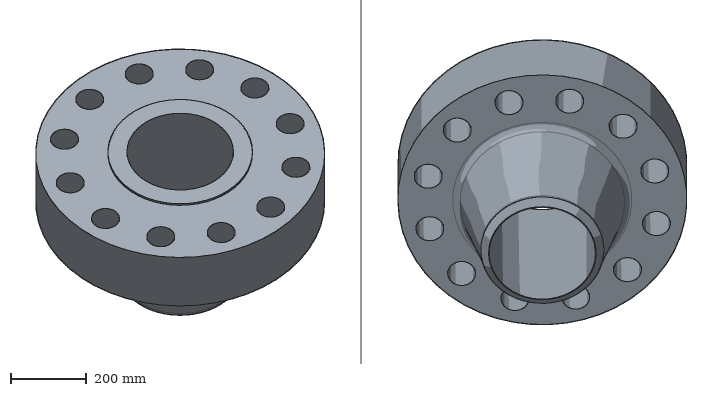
import cadquery as cq

flange_diameter = 762.0
total_height = 470.0

flange_thickness = 184.5
face_diameter = 381.0
face_height = 6.0

hub_top_diameter = 440.5
hub_end_diameter = 324.5
hub_fillet = 20.0

land_height = 7.0
bevel_height = 16.0
root_diameter = 283.5

bore_diameter = 280.5
bolt_count = 12
bolt_circle_diameter = 619.0
bolt_hole_diameter = 73.0

flange_top = total_height - face_height
flange_bottom = flange_top - flange_thickness
land_top = bevel_height + land_height


def make_body():
    """Revolve the outer half-profile about Z."""
    profile = (
        cq.Workplane("XZ")
        .moveTo(0, 0)
        .lineTo(root_diameter / 2, 0)
        .lineTo(hub_end_diameter / 2, bevel_height)
        .lineTo(hub_end_diameter / 2, land_top)
        .lineTo(hub_top_diameter / 2, flange_bottom)
        .lineTo(flange_diameter / 2, flange_bottom)
        .lineTo(flange_diameter / 2, flange_top)
        .lineTo(face_diameter / 2, flange_top)
        .lineTo(face_diameter / 2, total_height)
        .lineTo(0, total_height)
        .close()
    )
    body = profile.revolve(360, (0, 0, 0), (0, 1, 0))
    return body.edges("%CIRCLE").edges(cq.selectors.RadiusNthSelector(3)).fillet(hub_fillet)


def make_bore():
    """Cylinder that removes the central bore."""
    return cq.Workplane("XY").circle(bore_diameter / 2).extrude(total_height)


def make_bolt_holes():
    """Cylinders that remove the ring of bolt holes."""
    return (
        cq.Workplane("XY")
        .workplane(offset=flange_bottom)
        .polarArray(bolt_circle_diameter / 2, 0, 360, bolt_count)
        .circle(bolt_hole_diameter / 2)
        .extrude(flange_thickness)
    )


result = make_body().cut(make_bore()).cut(make_bolt_holes())